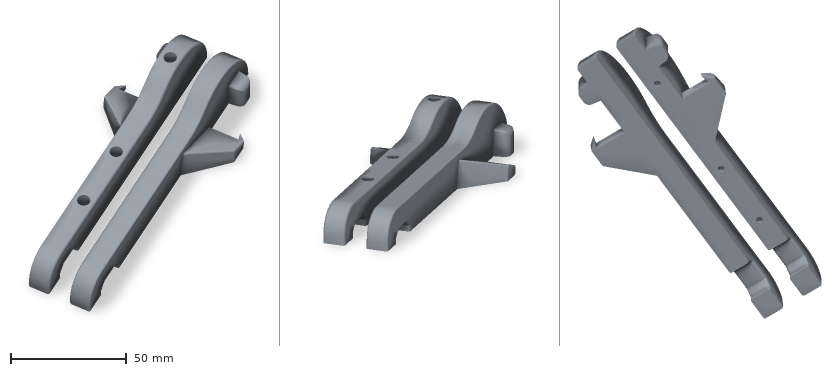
import cadquery as cq
import math

length = 147.0
overall_width = 64.0
arm_gap = 10.0
arm_width = 10.0
arm_height = 16.0
inner_edge_round = 1.0
outer_edge_round = 0.7

head_radius = 25.5
neck_radius = 26.0
toe_radius = 12.0

inner_x = arm_gap / 2
outer_x = inner_x + arm_width
head_y = length - head_radius

notch_start = 11.0
notch_end = 26.8
notch_height = 5.7
notch_corner = 3.0

peg_width = 9.8
peg_height = 12.3
peg_length = 6.6
peg_draft = 7.0
peg_edge_round = 0.7
peg_end_round = 3.0
peg_y = 133.2

wing_reach = overall_width / 2 - outer_x
wing_angle = 20.0
wing_front_y = 84.1
wing_shoulder_y = 110.0
wing_back_y = 109.5
wing_round = 0.7
hook_rise = 4.1
hook_root = 2.6

screw_diameter = 3.0
screw_head_diameter = 5.7
screw_seat_height = 8.0
screw_spacings = (50.0, 30.0)
screw_positions = (
    head_y,
    head_y - screw_spacings[0],
    head_y - screw_spacings[0] - screw_spacings[1],
)


def make_bar():
    """Side outline with round head, concave neck and round toe, less the notch."""
    centre_distance = head_radius + neck_radius
    neck_centre_z = arm_height + neck_radius
    neck_run = math.sqrt(centre_distance**2 - neck_centre_z**2)
    neck_y = head_y - neck_run
    head_share = head_radius / centre_distance
    blend_point = (head_y - neck_run * head_share, neck_centre_z * head_share)

    neck_half_angle = math.atan2(neck_run, neck_centre_z) / 2
    neck_middle = (
        neck_y + neck_radius * math.sin(neck_half_angle),
        neck_centre_z - neck_radius * math.cos(neck_half_angle),
    )
    toe_inset = toe_radius * (1 - math.sqrt(0.5))
    toe_middle = (toe_inset, arm_height - toe_inset)

    bar = (
        cq.Workplane("YZ", origin=(inner_x, 0, 0))
        .moveTo(0, 0)
        .lineTo(0, arm_height - toe_radius)
        .threePointArc(toe_middle, (toe_radius, arm_height))
        .lineTo(neck_y, arm_height)
        .threePointArc(neck_middle, blend_point)
        .threePointArc((head_y, head_radius), (length, 0))
        .lineTo(notch_end, 0)
        .lineTo(notch_end, notch_height - notch_corner)
        .lineTo(notch_end - notch_corner, notch_height)
        .lineTo(notch_start + notch_corner, notch_height)
        .lineTo(notch_start, notch_height - notch_corner)
        .lineTo(notch_start, 0)
        .close()
        .extrude(arm_width)
    )
    above_base = cq.selectors.BoxSelector((0, -length, inner_edge_round), (length, 2 * length, length))
    bar = bar.faces("<X").edges(above_base).fillet(inner_edge_round)
    return bar.faces(">X").edges(above_base).fillet(outer_edge_round)


def make_peg():
    """Drafted block with a rounded outer end and softened long edges, cut off flat at the base."""
    peg = (
        cq.Workplane("YZ", origin=(outer_x, peg_y, 0))
        .rect(peg_width, 2 * peg_height)
        .extrude(peg_length, taper=peg_draft)
        .faces(">X")
        .edges()
        .fillet(peg_end_round)
    )
    inner_half = cq.selectors.BoxSelector(
        (outer_x, peg_y - peg_width, -length), (outer_x + peg_length / 2, peg_y + peg_width, length)
    )
    peg = peg.edges("not(|Y or |Z)").edges(inner_half).fillet(peg_edge_round)
    upper_half = cq.Workplane("XY", origin=(outer_x, peg_y, 0)).box(
        2 * peg_length, 2 * peg_width, 2 * peg_height, centered=(True, True, False)
    )
    return peg.intersect(upper_half)


def make_wing():
    """Flat outline on the base swept upwards about the head axis,
    with the top edges along its front and outer sides rounded.
    """
    wing_x = outer_x + wing_reach
    wing = (
        cq.Workplane("XY")
        .moveTo(outer_x, wing_front_y)
        .lineTo(wing_x, wing_front_y + wing_reach)
        .lineTo(wing_x, wing_shoulder_y)
        .lineTo(wing_x - hook_rise, wing_shoulder_y + hook_rise)
        .lineTo(wing_x - hook_root, wing_back_y)
        .lineTo(outer_x, wing_back_y)
        .close()
        .revolve(wing_angle, (1.5, head_y, 0), (0, head_y, 0))
    )
    outer_top_edges = cq.selectors.BoxSelector(
        (outer_x + wing_round, 0, wing_round), (wing_x + wing_round, wing_back_y, head_radius)
    )
    return wing.edges("not(|X)").edges(outer_top_edges).fillet(wing_round)


def make_arm():
    """Plain arm on the +X side of the mirror plane."""
    return make_bar().union(make_peg()).union(make_wing())


def drill_screw_holes(arm, hole_x):
    """Counterbored through holes along the middle of an arm, the first at the head centre."""
    for y in screw_positions:
        shaft = cq.Workplane("XY", origin=(hole_x, y, 0)).circle(screw_diameter / 2).extrude(head_radius)
        head = (
            cq.Workplane("XY", origin=(hole_x, y, screw_seat_height))
            .circle(screw_head_diameter / 2)
            .extrude(head_radius)
        )
        arm = arm.cut(shaft).cut(head)
    return arm


plain_arm = make_arm()
screwed_arm = drill_screw_holes(plain_arm.mirror("YZ"), -(inner_x + outer_x) / 2)

result = cq.Compound.makeCompound([plain_arm.val(), screwed_arm.val()])